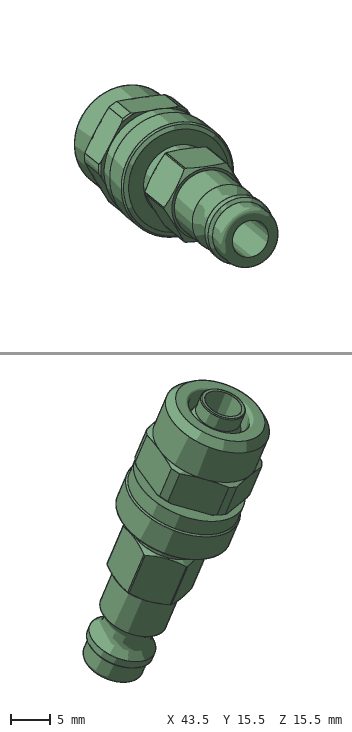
import cadquery as cq
import math

overall_length = 43.5
bore_dia = 4.95

nut_front_x = 1.17
nut_chamfer_end_x = 2.25
nut_hex_start_x = 7.18
nut_back_x = 12.22
nut_face_dia = 12.0
nut_dia = 14.0
nut_corner_dia = 15.5
nut_hex_chamfer_length = 0.2
nut_corner_chamfer = 0.2
nut_hole_dia = 8.25
nut_mouth_radius = 0.5
nut_lip_x = 1.75

barb_tip_dia = 6.05
barb_tip_chamfer = 0.15
barb_cone_start_x = 2.05
barb_cone_end_x = 3.9
barb_dia = 7.5
shoulder_x = 7.2
neck_dia = 10.4
flange_x = 13.25
flange_dia = 15.0

collar_x = 15.5
collar_chamfer_length = 0.17
collar_chamfer_start_x = 19.45
collar_edge_x = 19.65
collar_back_x = 19.92
collar_dia = 15.5
collar_back_dia = 13.85
plug_neck_dia = 9.7
plug_hex_start_x = 21.92
plug_hex_end_x = 29.25
plug_hex_flats = 10.0
plug_hex_corner_dia = 11.45
plug_hex_chamfer_length = 0.5
plug_dia = 9.0
groove_start_x = 35.1
groove_cone_end_x = 36.05
groove_floor_start_x = 36.7
groove_floor_end_x = 37.7
groove_cone_start_x = 38.35
bead_start_x = 39.3
bead_end_x = 40.32
nose_x = 40.7
groove_dia = 6.65
groove_cone_dia = 7.1
nose_dia = 8.1
nose_radius = 0.7


def cylinder(start_x, end_x, diameter):
    """Solid cylinder on the X axis."""
    length = end_x - start_x
    return cq.Workplane("YZ", origin=(start_x, 0, 0)).circle(diameter / 2).extrude(length)


def revolve_profile(points):
    """Solid turned from (x, diameter) points, closed along the X axis."""
    outline = [(points[0][0], 0)]
    outline += [(x, diameter / 2) for x, diameter in points]
    outline += [(points[-1][0], 0)]
    profile = cq.Workplane("XY").polyline(outline).close()
    return profile.revolve(360, (0, 0, 0), (1, 0, 0))


def hexagon(start_x, end_x, flats):
    """Hexagonal prism on the X axis, with two flats facing up and down."""
    across_corners = flats / math.cos(math.pi / 6)
    plane = cq.Workplane("YZ", origin=(start_x, 0, 0))
    return plane.polygon(6, across_corners).extrude(end_x - start_x)


def make_nut():
    sleeve = revolve_profile([
        (nut_front_x, nut_face_dia),
        (nut_chamfer_end_x, nut_dia),
        (nut_back_x, nut_dia),
    ])
    corner_limit = revolve_profile([
        (nut_hex_start_x, nut_dia),
        (nut_hex_start_x + nut_hex_chamfer_length, nut_corner_dia),
        (nut_back_x - nut_corner_chamfer, nut_corner_dia),
        (nut_back_x, nut_corner_dia - 2 * nut_corner_chamfer),
    ])
    hex_part = hexagon(nut_hex_start_x, nut_back_x, nut_dia).intersect(corner_limit)
    nut = sleeve.union(hex_part)
    nut = nut.cut(cylinder(nut_front_x, nut_lip_x, nut_hole_dia))
    hose_cavity = revolve_profile([
        (nut_lip_x, nut_hole_dia),
        (shoulder_x, neck_dia),
    ])
    nut = nut.cut(hose_cavity)
    nut = nut.cut(cylinder(shoulder_x, nut_back_x, neck_dia))
    mouth = cq.selectors.RadiusNthSelector(0)
    return nut.faces("<X").edges(mouth).fillet(nut_mouth_radius)


def make_barbed_body():
    body = revolve_profile([
        (0, barb_tip_dia - 2 * barb_tip_chamfer),
        (barb_tip_chamfer, barb_tip_dia),
        (barb_cone_start_x, barb_tip_dia),
        (barb_cone_end_x, barb_dia),
        (shoulder_x, barb_dia),
        (shoulder_x, neck_dia),
        (flange_x, neck_dia),
        (flange_x, flange_dia),
        (collar_x, flange_dia),
    ])
    return body.cut(cylinder(0, collar_x, bore_dia))


def make_plug_hex():
    corner_limit = revolve_profile([
        (plug_hex_start_x, plug_neck_dia),
        (plug_hex_start_x + plug_hex_chamfer_length, plug_hex_corner_dia),
        (plug_hex_end_x - plug_hex_chamfer_length, plug_hex_corner_dia),
        (plug_hex_end_x, plug_neck_dia),
    ])
    return hexagon(plug_hex_start_x, plug_hex_end_x, plug_hex_flats).intersect(corner_limit)


def make_plug_tip():
    """Turned tip, with a groove whose floor blends tangentially from its cones."""
    floor_radius = groove_dia / 2
    cone_radius = groove_cone_dia / 2
    bead_radius = plug_dia / 2
    nose_outer_radius = nose_dia / 2
    profile = (
        cq.Workplane("XY")
        .moveTo(plug_hex_end_x, 0)
        .lineTo(plug_hex_end_x, bead_radius)
        .lineTo(groove_start_x, bead_radius)
        .lineTo(groove_cone_end_x, cone_radius)
        .tangentArcPoint((groove_floor_start_x, floor_radius), relative=False)
        .lineTo(groove_floor_end_x, floor_radius)
        .tangentArcPoint((groove_cone_start_x, cone_radius), relative=False)
        .lineTo(bead_start_x, bead_radius)
        .lineTo(bead_end_x, bead_radius)
        .lineTo(nose_x, nose_outer_radius)
        .lineTo(overall_length, nose_outer_radius)
        .lineTo(overall_length, 0)
        .close()
    )
    tip = profile.revolve(360, (0, 0, 0), (1, 0, 0))
    return tip.faces(">X").edges().fillet(nose_radius)


def make_plug():
    collar = revolve_profile([
        (collar_x, flange_dia),
        (collar_x + collar_chamfer_length, collar_dia),
        (collar_chamfer_start_x, collar_dia),
        (collar_edge_x, flange_dia),
        (collar_back_x, collar_back_dia),
    ])
    neck = cylinder(collar_back_x, plug_hex_start_x, plug_neck_dia)
    plug = collar.union(neck).union(make_plug_hex()).union(make_plug_tip())
    return plug.cut(cylinder(collar_x, overall_length, bore_dia))


nut = make_nut()
barbed_body = make_barbed_body()
plug = make_plug()

result = cq.Compound.makeCompound([nut.val(), barbed_body.val(), plug.val()])